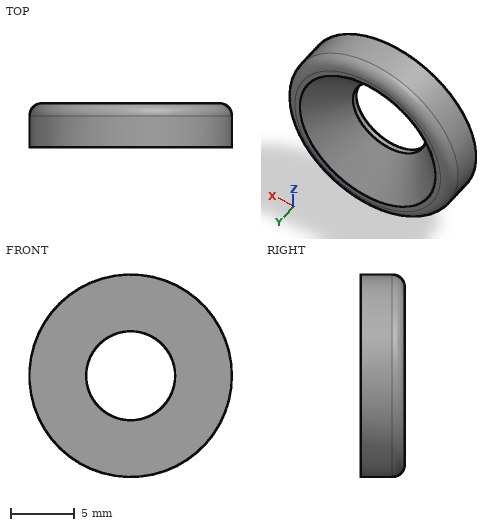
import cadquery as cq

outer_diameter = 16.0
thickness = 3.5
bore_diameter = 7.0
rim_radius = 1.0
lip_thickness = 0.5

front_y = -thickness / 2
back_y = thickness / 2

bore_radius = bore_diameter / 2
lip_y = front_y + lip_thickness
flare_radius = bore_radius + (back_y - lip_y)

body = (
    cq.Workplane("XZ", origin=(0, front_y, 0))
    .circle(outer_diameter / 2)
    .extrude(-thickness)
    .faces(">Y")
    .edges()
    .fillet(rim_radius)
)

opening = (
    cq.Workplane("XY")
    .moveTo(0, front_y)
    .lineTo(bore_radius, front_y)
    .lineTo(bore_radius, lip_y)
    .lineTo(flare_radius, back_y)
    .lineTo(0, back_y)
    .close()
    .revolve(360, (0, 0, 0), (0, 1, 0))
)

result = body.cut(opening)